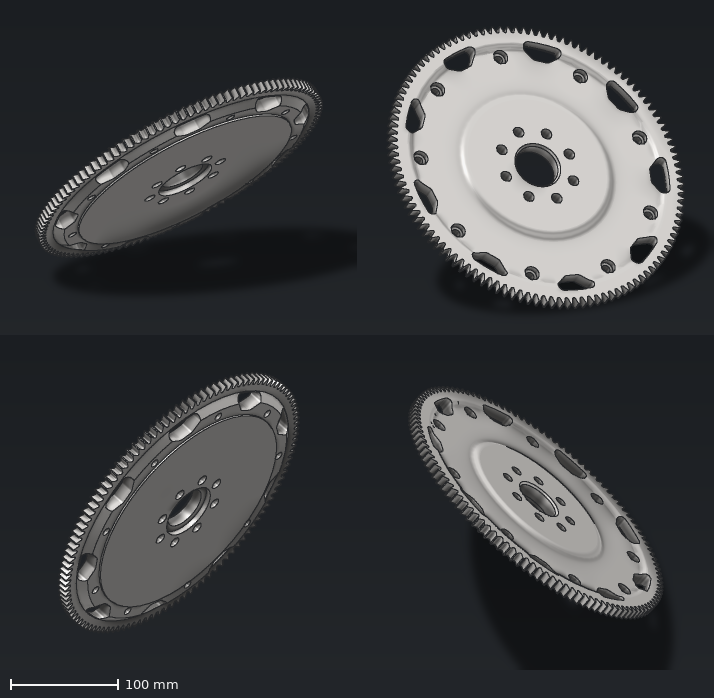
import cadquery as cq
import math


tooth_count = 115
tip_radius = 147.335
flank_end_radius = 142.1
root_radius = 140.8
tip_width = 1.2
tooth_base_width = 4.9
first_tooth_angle = 0.93
rim_thickness = 10.0
tooth_clearance = 1.0

flange_depth = 16.5
cone_outer_radius = 133.6
cone_inner_radius = 125.2
back_boss_radius = 221.6 / 2
back_boss_height = 2.0
total_depth = flange_depth + back_boss_height

recess_depth = 3.0
hub_step_radius = 150.0 / 2
hub_step_fillet = 10.0
rim_step_radius = 126.0
rim_step_fillet = 7.0

bore_radius = 42.02 / 2
bore_chamfer = 2.0
bore_depth = 13.0
back_counterbore_radius = 27.5

hub_hole_count = 8
hub_hole_diameter = 10.4
hub_hole_circle_radius = 37.0
hub_hole_angle = 7.8

slot_count = 9
slot_angle = 14.5
slot_inner_radius = 115.6
slot_outer_radius = 132.7
slot_corner_radius = 5.0
slot_corner_offset = 13.7
slot_side_angle = 37.4

outer_hole_diameter = 8.1
counterbore_diameter = 14.0
counterbore_floor = 8.9
outer_hole_circle_radius = 117.0
outer_hole_angle = slot_angle + 180 / slot_count

wheel_plane = cq.Plane(origin=(0, 0, 0), xDir=(1, 0, 1), normal=(-1, 0, 1))


def polar(radius, degrees):
    angle = math.radians(degrees)
    return (radius * math.cos(angle), radius * math.sin(angle))


def toothed_disc(depth):
    """Disc with straight-flanked teeth and round roots, from z = 0 down."""
    pitch = 360 / tooth_count
    tip_half = math.degrees(tip_width / 2 / tip_radius)
    base_half = math.degrees(tooth_base_width / 2 / flank_end_radius)
    outline = cq.Workplane("XY").moveTo(*polar(flank_end_radius, first_tooth_angle - base_half))
    for i in range(tooth_count):
        middle = first_tooth_angle + i * pitch
        outline = outline.lineTo(*polar(tip_radius, middle - tip_half))
        outline = outline.threePointArc(polar(tip_radius, middle), polar(tip_radius, middle + tip_half))
        outline = outline.lineTo(*polar(flank_end_radius, middle + base_half))
        outline = outline.threePointArc(
            polar(root_radius, middle + pitch / 2),
            polar(flank_end_radius, middle + pitch - base_half),
        )
    return outline.close().extrude(-depth)


def turned_body():
    """Rim, conical back shoulder and shallow back boss as one revolved blank."""
    blank_radius = tip_radius + tooth_clearance
    return (
        cq.Workplane("XZ")
        .polyline([
            (0, 0),
            (blank_radius, 0),
            (blank_radius, -rim_thickness),
            (cone_outer_radius, -rim_thickness),
            (cone_inner_radius, -flange_depth),
            (back_boss_radius, -flange_depth),
            (back_boss_radius, -total_depth),
            (0, -total_depth),
        ])
        .close()
        .revolve(360, (0, 0, 0), (0, 1, 0))
    )


def step_run(fillet):
    """Radial half-width of a step made of two equal tangent arcs."""
    rise = recess_depth / 2
    return math.sqrt(2 * fillet * rise - rise ** 2)


def step_sag(fillet):
    """Arc midpoint: radial and axial distance from the flat end of the arc."""
    half_angle = math.asin(step_run(fillet) / fillet) / 2
    return fillet * math.sin(half_angle), fillet * (1 - math.cos(half_angle))


def front_recess():
    """Annular recess whose inner and outer walls are S-shaped fillet pairs."""
    floor = -recess_depth
    hub_run = step_run(hub_step_fillet)
    rim_run = step_run(rim_step_fillet)
    hub_dr, hub_dz = step_sag(hub_step_fillet)
    rim_dr, rim_dz = step_sag(rim_step_fillet)
    hub_top = hub_step_radius - hub_run
    hub_foot = hub_step_radius + hub_run
    rim_foot = rim_step_radius - rim_run
    rim_top = rim_step_radius + rim_run
    return (
        cq.Workplane("XZ")
        .moveTo(hub_top, 0)
        .threePointArc((hub_top + hub_dr, -hub_dz), (hub_step_radius, floor / 2))
        .threePointArc((hub_foot - hub_dr, floor + hub_dz), (hub_foot, floor))
        .lineTo(rim_foot, floor)
        .threePointArc((rim_foot + rim_dr, floor + rim_dz), (rim_step_radius, floor / 2))
        .threePointArc((rim_top - rim_dr, -rim_dz), (rim_top, 0))
        .close()
        .revolve(360, (0, 0, 0), (0, 1, 0))
    )


def centre_bore():
    """Through bore, chamfered at the front face and counterbored from the back."""
    return (
        cq.Workplane("XZ")
        .polyline([
            (0, 0),
            (bore_radius + bore_chamfer, 0),
            (bore_radius, -bore_chamfer),
            (bore_radius, -bore_depth),
            (back_counterbore_radius, -bore_depth),
            (back_counterbore_radius, -total_depth),
            (0, -total_depth),
        ])
        .close()
        .revolve(360, (0, 0, 0), (0, 1, 0))
    )


def hole_ring(count, circle_radius, start_angle, diameter, depth):
    """Ring of equal cylinders from z = 0 down to the given depth."""
    return (
        cq.Workplane("XY")
        .polarArray(circle_radius, start_angle, 360, count)
        .circle(diameter / 2)
        .extrude(-depth)
    )


def rim_slot():
    """Slot on the local X axis: arc outside, flat inside, slanted sides, round corners."""
    corner_x = math.sqrt((slot_outer_radius - slot_corner_radius) ** 2 - slot_corner_offset ** 2)
    corner_y = slot_corner_offset
    side = math.radians(slot_side_angle)
    tangent_x = corner_x - slot_corner_radius * math.cos(side)
    tangent_y = corner_y + slot_corner_radius * math.sin(side)
    inner_y = tangent_y - (tangent_x - slot_inner_radius) / math.tan(side)
    trim = slot_corner_radius * math.tan(side / 2)
    round_start = (slot_inner_radius + trim * math.sin(side), inner_y + trim * math.cos(side))
    round_end = (slot_inner_radius, inner_y - trim)
    round_centre_x = slot_inner_radius + slot_corner_radius
    round_middle = (
        round_centre_x - slot_corner_radius * math.cos(side / 2),
        round_end[1] + slot_corner_radius * math.sin(side / 2),
    )
    edge_angle = math.atan2(corner_y, corner_x)
    edge = polar(slot_outer_radius, math.degrees(edge_angle))
    middle_angle = (edge_angle + math.pi - side) / 2
    corner_middle = (
        corner_x + slot_corner_radius * math.cos(middle_angle),
        corner_y + slot_corner_radius * math.sin(middle_angle),
    )

    def mirrored(point):
        return (point[0], -point[1])

    return (
        cq.Workplane("XY")
        .moveTo(*mirrored(edge))
        .threePointArc((slot_outer_radius, 0), edge)
        .threePointArc(corner_middle, (tangent_x, tangent_y))
        .lineTo(*round_start)
        .threePointArc(round_middle, round_end)
        .lineTo(*mirrored(round_end))
        .threePointArc(mirrored(round_middle), mirrored(round_start))
        .lineTo(tangent_x, -tangent_y)
        .threePointArc(mirrored(corner_middle), mirrored(edge))
        .close()
        .extrude(-total_depth)
    )


wheel = turned_body().intersect(toothed_disc(total_depth))
wheel = wheel.cut(front_recess())
wheel = wheel.cut(centre_bore())
wheel = wheel.cut(
    hole_ring(hub_hole_count, hub_hole_circle_radius, hub_hole_angle, hub_hole_diameter, total_depth)
)
wheel = wheel.cut(
    hole_ring(slot_count, outer_hole_circle_radius, outer_hole_angle, outer_hole_diameter, total_depth)
)
wheel = wheel.cut(
    hole_ring(slot_count, outer_hole_circle_radius, outer_hole_angle, counterbore_diameter, counterbore_floor)
)

slot = rim_slot()
for i in range(slot_count):
    wheel = wheel.cut(slot.rotate((0, 0, 0), (0, 0, 1), slot_angle + i * 360 / slot_count))

result = cq.Workplane("XY").newObject([wheel.val().moved(cq.Location(wheel_plane))])